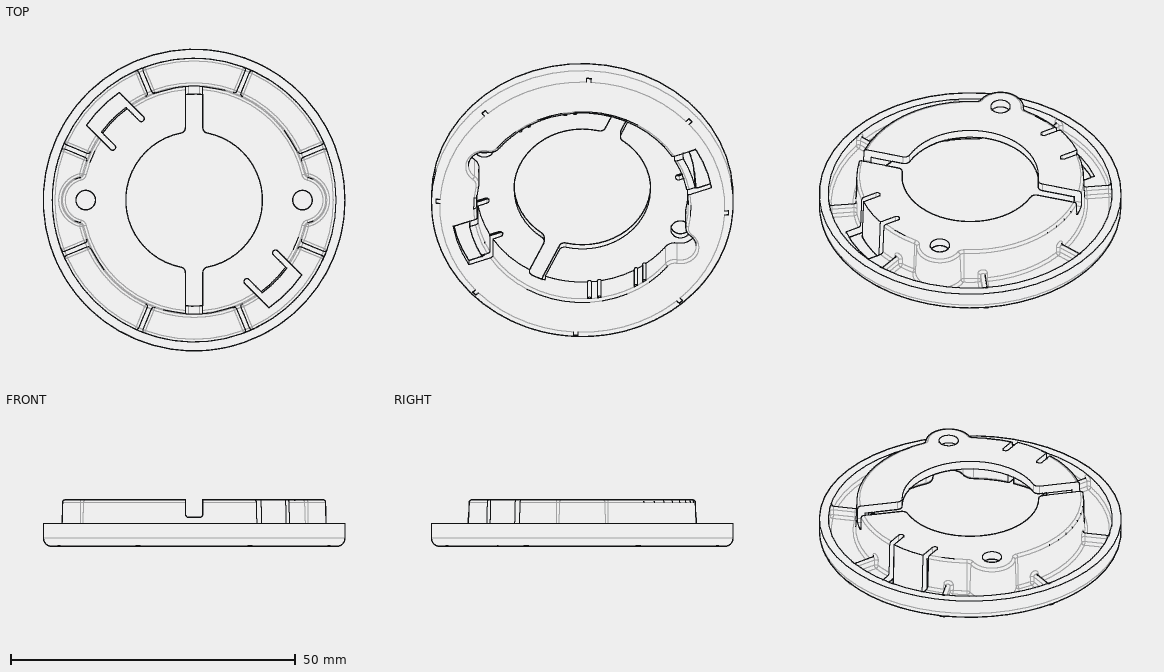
import cadquery as cq
import math

OUTER_RADIUS = 26.5
TOTAL_HEIGHT = 8.2
RIM_HEIGHT = 4.1
WALL = 1.6
BOTTOM_ROUND = 1.5
EDGE_ROUND = 0.5
RIM_INNER_RADIUS = OUTER_RADIUS - WALL

HUB_RADIUS = 20.2
EAR_OFFSET = 19.05
EAR_RADIUS = 4.35
DRAFT_ANGLE = 2.0
SCREW_HOLE_RADIUS = 1.7
CAVITY_RADIUS = HUB_RADIUS - WALL
CAVITY_HEIGHT = TOTAL_HEIGHT - WALL

BORE_RADIUS = 12.0
SLOT_WIDTH = 3.0
SLOT_DEPTH = 3.1
SLOT_BOTTOM_ROUND = 0.55
SLOT_MOUTH_ROUND = 1.0

RIB_COUNT = 8
RIB_PITCH = 360 / RIB_COUNT
RIB_WIDTH = 0.8
RIB_TOP = 3.5

INNER_RIB_DIRECTIONS = (45, 225)
INNER_RIB_ANGLES = (-16, -10.6, 10.6, 16)
INNER_RIB_RADIUS = 0.3

TAB_DIRECTIONS = (135, 315)
WINDOW_WIDTH = 8.1
WINDOW_END_RADIUS = 23.0
SLIT_WIDTH = 1.0
SLIT_START = 16.15
TAB_WIDTH = WINDOW_WIDTH - 2 * SLIT_WIDTH

TOLERANCE = 0.005


def disc(radius, height, x=0, y=0, z=0):
    return cq.Workplane("XY", origin=(x, y, z)).circle(radius).extrude(height)


def turned(shape, angle):
    return shape.rotate((0, 0, 0), (0, 0, 1), angle)


def eared_outline(radius, ear_radius, corner_radius):
    """Flat face of a disc with an ear on each side, the corners between them rounded."""
    outline = cq.Sketch().circle(radius)
    outline = outline.push([(-EAR_OFFSET, 0), (EAR_OFFSET, 0)]).circle(ear_radius)
    return outline.reset().clean().vertices().fillet(corner_radius)


def hub_block():
    outline = eared_outline(HUB_RADIUS, EAR_RADIUS, EDGE_ROUND)
    return cq.Workplane("XY").placeSketch(outline).extrude(TOTAL_HEIGHT, taper=DRAFT_ANGLE)


def dish():
    """Floor and rim."""
    body = disc(OUTER_RADIUS, RIM_HEIGHT).faces("<Z").edges().fillet(BOTTOM_ROUND)
    return body.cut(disc(RIM_INNER_RADIUS, RIM_HEIGHT, z=WALL))


def rib(angle):
    """Round-topped rib that runs outward from inside the hub wall into the rim."""
    inner_end = CAVITY_RADIUS + WALL / 2
    outer_end = RIM_INNER_RADIUS + WALL / 2
    half_width = RIB_WIDTH / 2
    bar = (
        cq.Workplane("YZ", origin=(inner_end, 0, 0))
        .moveTo(-half_width, 0)
        .lineTo(half_width, 0)
        .lineTo(half_width, RIB_TOP - half_width)
        .threePointArc((0, RIB_TOP), (-half_width, RIB_TOP - half_width))
        .close()
        .extrude(outer_end - inner_end)
    )
    return turned(bar, angle)


def is_trough_corner(edge):
    """True for the edges around the floor between hub and rim and around both ends of each rib."""
    center = edge.Center()
    if abs(center.z - WALL) < TOLERANCE:
        return True
    radius = math.hypot(center.x, center.y)
    angle = math.degrees(math.atan2(center.y, center.x))
    angle_from_rib = angle % RIB_PITCH - RIB_PITCH / 2
    on_rib = abs(angle_from_rib) < RIB_PITCH / 10 and WALL < center.z < RIB_TOP
    along_rib = abs(radius - (HUB_RADIUS + RIM_INNER_RADIUS) / 2) < RIB_WIDTH
    return on_rib and not along_rib


def tray():
    """Dish with its ribs and hub, all corners rounded, still solid underneath."""
    body = dish().union(hub_block())
    for index in range(RIB_COUNT):
        body = body.union(rib((index + 0.5) * RIB_PITCH))
    corners = [edge for edge in body.edges().vals() if is_trough_corner(edge)]
    body = body.newObject(corners).fillet(EDGE_ROUND)
    return body.faces(">Z").edges().fillet(EDGE_ROUND)


def is_cavity_mouth(edge):
    """True for the edges where the cavity meets the underside of the part."""
    return abs(edge.Center().z) < TOLERANCE and edge.BoundingBox().xlen < 2 * RIM_INNER_RADIUS


def cavity():
    """Space under the hub plate, flared at its mouth, with grooves that leave the inner ribs."""
    outline = eared_outline(CAVITY_RADIUS, EAR_RADIUS - WALL, EDGE_ROUND + WALL)
    space = cq.Workplane("XY").placeSketch(outline).extrude(CAVITY_HEIGHT)
    space = space.union(disc(OUTER_RADIUS, WALL, z=-WALL))
    mouth = [edge for edge in space.edges().vals() if is_cavity_mouth(edge)]
    space = space.newObject(mouth).fillet(EDGE_ROUND)
    for direction in INNER_RIB_DIRECTIONS:
        for angle in INNER_RIB_ANGLES:
            post = disc(INNER_RIB_RADIUS, CAVITY_HEIGHT - EDGE_ROUND, x=CAVITY_RADIUS, z=EDGE_ROUND)
            space = space.cut(turned(post, direction + angle))
    return space


def opening():
    """Bore of the hub plate with a slot on either side that also notches the hub wall."""
    slot = (
        cq.Workplane("XY")
        .box(SLOT_WIDTH, 2 * OUTER_RADIUS, SLOT_DEPTH, centered=(True, True, False))
        .edges("|Y and <Z")
        .fillet(SLOT_BOTTOM_ROUND)
    )
    near_bore = cq.selectors.BoxSelector(
        (-SLOT_WIDTH, -BORE_RADIUS, 0), (SLOT_WIDTH, BORE_RADIUS, SLOT_DEPTH)
    )
    cutter = disc(BORE_RADIUS, SLOT_DEPTH).union(slot)
    cutter = cutter.edges("|Z").edges(near_bore).fillet(SLOT_MOUTH_ROUND)
    return cutter.translate((0, 0, TOTAL_HEIGHT - SLOT_DEPTH))


def radial_bar(start, width):
    """Full-height bar along +X from the given distance to the end of the window."""
    bar = cq.Workplane("XY", origin=(start, 0, 0)).box(
        WINDOW_END_RADIUS - start, width, TOTAL_HEIGHT, centered=(False, True, False)
    )
    return bar.intersect(disc(WINDOW_END_RADIUS, TOTAL_HEIGHT))


def window():
    """Window along +X that reaches inward to the round-ended slits."""
    slit_end_x = SLIT_START + SLIT_WIDTH / 2
    slit_y = (TAB_WIDTH + SLIT_WIDTH) / 2
    cutter = radial_bar(slit_end_x, WINDOW_WIDTH)
    for y in (-slit_y, slit_y):
        cutter = cutter.union(disc(SLIT_WIDTH / 2, TOTAL_HEIGHT, x=slit_end_x, y=y))
    return cutter


hollow = cavity()
result = tray().cut(hollow).cut(opening())
for ear_x in (-EAR_OFFSET, EAR_OFFSET):
    result = result.cut(disc(SCREW_HOLE_RADIUS, TOTAL_HEIGHT, x=ear_x))

plain_hub = hub_block().cut(hollow)
for direction in TAB_DIRECTIONS:
    tab = turned(radial_bar(SLIT_START, TAB_WIDTH), direction).intersect(plain_hub)
    result = result.cut(turned(window(), direction)).union(tab)